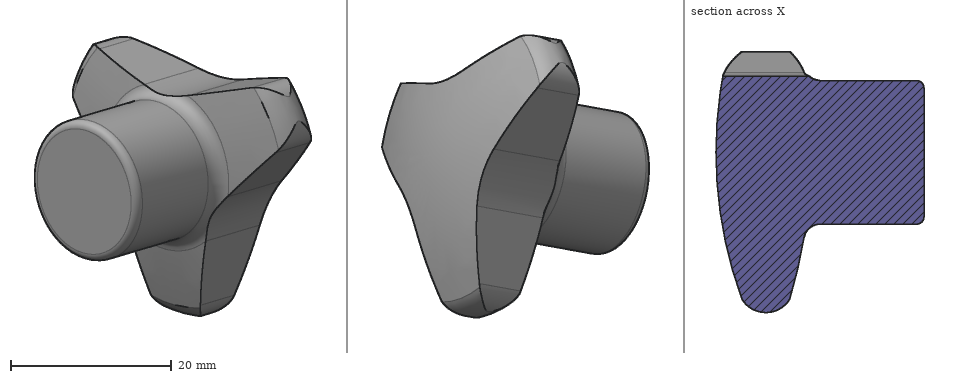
import cadquery as cq
import math

total_height = 26.0

hub_radius = 18.0 / 2
hub_edge_radius = 1.0
neck_fillet_radius = 2.0

head_radius = 20.0
rim_height = 19.75
rim_round_radius = 3.5
rim_half_thickness = 3.0
underside_radius = 64.0

arm_count = 3
first_arm_angle = -90.0
arm_taper = math.radians(15.0)
arm_root_half_width = 9.0
arm_corner_radius = 3.5
valley_radius = 14.5


def sphere_depth(sphere_radius, axis_distance):
    """Height between a sphere's centre and its surface at a distance from the axis."""
    return math.sqrt(sphere_radius**2 - axis_distance**2)


def solid_of_revolution():
    """Hub and full round head. In the section, X is the distance from the axis and Y the height."""
    rim_round_centre = head_radius - rim_round_radius
    rim_edge = rim_round_centre + math.sqrt(rim_round_radius**2 - rim_half_thickness**2)
    rim_top = rim_height + rim_half_thickness
    rim_bottom = rim_height - rim_half_thickness

    crown_rise = total_height - rim_top
    crown_radius = (rim_edge**2 + crown_rise**2) / (2 * crown_rise)
    crown_centre = total_height - crown_radius
    crown_middle = (rim_edge / 2, crown_centre + sphere_depth(crown_radius, rim_edge / 2))

    underside_centre = rim_bottom + sphere_depth(underside_radius, rim_edge)

    def underside_point(axis_distance):
        return axis_distance, underside_centre - sphere_depth(underside_radius, axis_distance)

    neck_x = hub_radius + neck_fillet_radius
    neck_reach = underside_radius + neck_fillet_radius
    neck_y = underside_centre - sphere_depth(neck_reach, neck_x)
    neck_end = underside_point(neck_x * underside_radius / neck_reach)
    neck_end_angle = math.atan2(neck_end[1] - neck_y, neck_end[0] - neck_x)
    neck_middle_angle = (math.pi + neck_end_angle) / 2
    neck_middle = (
        neck_x + neck_fillet_radius * math.cos(neck_middle_angle),
        neck_y + neck_fillet_radius * math.sin(neck_middle_angle),
    )

    section = (
        cq.Workplane("XY")
        .lineTo(hub_radius, 0)
        .lineTo(hub_radius, neck_y)
        .threePointArc(neck_middle, neck_end)
        .threePointArc(underside_point((neck_end[0] + rim_edge) / 2), (rim_edge, rim_bottom))
        .threePointArc((head_radius, rim_height), (rim_edge, rim_top))
        .threePointArc(crown_middle, (0, total_height))
        .close()
    )
    body = section.revolve(360, (0, 0), (0, 1))
    return body.faces("<Y").edges().fillet(hub_edge_radius)


def on_arm(arm_angle, along, across):
    """Plan point (X, Z) given along and across the centre line of an arm."""
    return (
        along * math.cos(arm_angle) - across * math.sin(arm_angle),
        along * math.sin(arm_angle) + across * math.cos(arm_angle),
    )


def arm_prism():
    """Star-shaped prism along Y that trims the head to its arms."""
    half_pitch = math.pi / arm_count
    tip_half_width = arm_root_half_width - head_radius * math.tan(arm_taper)
    side_distance = arm_root_half_width * math.cos(arm_taper)
    valley_distance = side_distance / math.sin(arm_taper + half_pitch)

    outline = []
    for index in range(arm_count):
        angle = math.radians(first_arm_angle) + index * 2 * half_pitch
        outline.append(on_arm(angle, head_radius, -tip_half_width))
        outline.append(on_arm(angle, head_radius, tip_half_width))
        outline.append(on_arm(angle + half_pitch, valley_distance, 0))

    prism = cq.Workplane("XZ").polyline(outline).close().extrude(-total_height)

    def is_valley(edge):
        centre = edge.Center()
        return math.hypot(centre.x, centre.z) < head_radius / 2

    prism = prism.edges("|Y").filter(lambda edge: not is_valley(edge)).fillet(arm_corner_radius)
    return prism.edges("|Y").filter(is_valley).fillet(valley_radius)


result = solid_of_revolution().intersect(arm_prism())